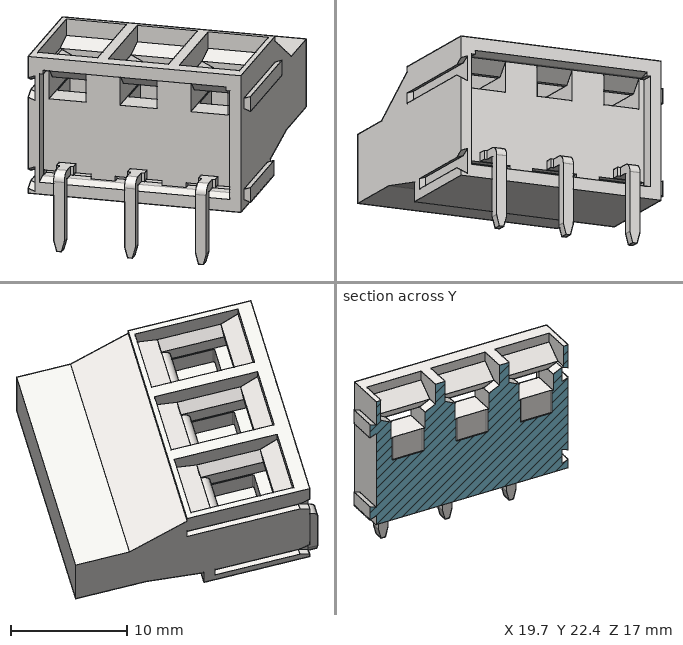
import cadquery as cq
import math

POLES = 3
BODY_WIDTH = 19.05
PITCH = BODY_WIDTH / POLES
BODY_HEIGHT = 12.45
BODY_DEPTH = 20.95
HEAD_DEPTH = 10.98
FOOT_DEPTH = 9.48
TAIL_BOTTOM = 2.73
TAIL_TOP = 8.92
HEAD_STEP = 0.47
FOOT_STEP_TOP = 1.77
TAIL_TOP_FRONT = 16.13
TAIL_BOTTOM_FRONT = 14.63

JOINT_DEPTH = 0.6
JOINT_NECK = 0.92
JOINT_SPREAD = 0.22
FLARE_LENGTH = 0.87
FLARE_GROWTH = 0.43
RAIL_FRONT = 0.95
JOINTS = [(9.63, HEAD_DEPTH), (1.35, 8.47)]

RECESS_SIDE = 1.0
RECESS_DEPTH = 1.3
RECESS_BOTTOM = 1.37
RECESS_TOP = 10.98
LEDGE_DROP = 0.27
LINTEL_SIDE = 1.35
LINTEL_STEP = 0.07
LINTEL_RISE = 0.27
BEVEL_ANGLE = math.radians(15)

POCKET_WIDTH = 5.38
POCKET_FRONT = 1.3
POCKET_REAR = 10.5
REAR_SLOPE_TOP = 10.95
FRONT_SLOPE_TOP = 11.55
SHELF_OUTER = 10.44
SHELF_INNER = 9.95

SLOT_WIDTH = 3.34
SLOT_FRONT = 2.82
SLOT_REAR = 8.5
SLOT_FLOOR = 8.3
WINDOW_CEILING = 9.95
CLAMP_FRONT = 7.6
CLAMP_TOP = 9.8
CLAMP_RADIUS = 0.8
WELL_WIDTH = 3.14
WELL_FRONT = 3.7
WELL_DEPTH = 2.25
WELL_CORNER = 0.13

NOTCH_WIDTH = 4.2
NOTCH_HEIGHT = 0.43
NOTCH_DEPTH = 0.67
RAMP_LENGTH = 0.11

PIN_WIDTH = 0.96
PIN_THICKNESS = 0.9
PIN_REACH = 1.45
PIN_LENGTH = 4.55
TANG_TOP = 2.62
TANG_THICKNESS = 0.78
TANG_WIDTH = 1.5
TANG_LENGTH = 0.83
BEND_RADIUS = 0.83
TIP_LENGTH = 0.99
TIP_WIDTH = 0.43

POLE_CENTRES = [PITCH * (pole + 0.5) for pole in range(POLES)]


def side_prism(points, x_start, width):
    """Extrude a (Y, Z) outline along +X."""
    return cq.Workplane("YZ", origin=(x_start, 0, 0)).polyline(points).close().extrude(width)


def box(x_centre, width, y_start, y_end, z_start, z_end):
    """Block centred on x_centre between the given Y and Z limits."""
    size = (width, y_end - y_start, z_end - z_start)
    corner = cq.Workplane("XY", origin=(x_centre, y_start, z_start))
    return corner.box(*size, centered=(True, False, False))


def make_housing():
    outline = [
        (0, 0),
        (FOOT_DEPTH, 0),
        (FOOT_DEPTH, FOOT_STEP_TOP),
        (TAIL_BOTTOM_FRONT, TAIL_BOTTOM),
        (BODY_DEPTH, TAIL_BOTTOM),
        (BODY_DEPTH, TAIL_TOP),
        (TAIL_TOP_FRONT, TAIL_TOP),
        (HEAD_DEPTH, BODY_HEIGHT - HEAD_STEP),
        (HEAD_DEPTH, BODY_HEIGHT),
        (0, BODY_HEIGHT),
    ]
    return side_prism(outline, 0, BODY_WIDTH)


def dovetail(x_neck, z_centre, y_front, y_rear):
    """Dovetail bar that widens from x_neck over the joint depth in +X."""
    neck = JOINT_NECK / 2
    wide = neck + JOINT_SPREAD
    section = [
        (x_neck, z_centre - neck),
        (x_neck + JOINT_DEPTH, z_centre - wide),
        (x_neck + JOINT_DEPTH, z_centre + wide),
        (x_neck, z_centre + neck),
    ]
    plane = cq.Workplane("XZ", origin=(0, y_front, 0))
    return plane.polyline(section).close().extrude(y_front - y_rear)


def groove_flare(z_centre):
    """Lead-in that opens a groove towards the front face."""

    def section(growth):
        neck = JOINT_NECK / 2 + growth
        wide = neck + JOINT_SPREAD
        return [
            (0, z_centre - neck),
            (JOINT_DEPTH, z_centre - wide),
            (JOINT_DEPTH, z_centre + wide),
            (0, z_centre + neck),
        ]

    front = cq.Workplane("XZ").polyline(section(FLARE_GROWTH)).close()
    rear = front.workplane(offset=-FLARE_LENGTH).polyline(section(0)).close()
    return rear.loft(ruled=True)


def make_recess():
    profile = [
        (0, RECESS_BOTTOM - LEDGE_DROP),
        (LEDGE_DROP / math.tan(BEVEL_ANGLE), RECESS_BOTTOM),
        (RECESS_DEPTH, RECESS_BOTTOM),
        (RECESS_DEPTH, RECESS_TOP),
        (0, RECESS_TOP),
    ]
    lintel_top = RECESS_TOP + LINTEL_STEP
    bevel = [
        (0, RECESS_TOP),
        (RECESS_DEPTH, RECESS_TOP),
        (RECESS_DEPTH, lintel_top),
        (LINTEL_RISE / math.tan(BEVEL_ANGLE), lintel_top),
        (0, lintel_top + LINTEL_RISE),
    ]
    recess = side_prism(profile, RECESS_SIDE, BODY_WIDTH - 2 * RECESS_SIDE)
    return recess.union(side_prism(bevel, LINTEL_SIDE, BODY_WIDTH - 2 * LINTEL_SIDE))


def make_funnel(x_centre):
    """Open top of a pocket, with sloped ends and inclined side shelves."""
    profile = [
        (POCKET_FRONT, BODY_HEIGHT),
        (POCKET_FRONT, FRONT_SLOPE_TOP),
        (SLOT_FRONT, SHELF_OUTER),
        (SLOT_REAR, SHELF_OUTER),
        (POCKET_REAR, REAR_SLOPE_TOP),
        (POCKET_REAR, BODY_HEIGHT),
    ]
    funnel = side_prism(profile, x_centre - POCKET_WIDTH / 2, POCKET_WIDTH)

    shelf_section = [
        (x_centre - POCKET_WIDTH / 2, SHELF_OUTER),
        (x_centre - SLOT_WIDTH / 2, SHELF_INNER),
        (x_centre + SLOT_WIDTH / 2, SHELF_INNER),
        (x_centre + POCKET_WIDTH / 2, SHELF_OUTER),
    ]
    plane = cq.Workplane("XZ", origin=(0, SLOT_FRONT, 0))
    return funnel.union(plane.polyline(shelf_section).close().extrude(SLOT_FRONT - SLOT_REAR))


def make_slot(x_centre):
    """Slot below the funnel, leaving the rounded clamp bar, with a well in its floor."""
    slot = box(x_centre, SLOT_WIDTH, SLOT_FRONT, SLOT_REAR, SLOT_FLOOR, SHELF_INNER)
    clamp_rear = CLAMP_FRONT + CLAMP_RADIUS
    clamp = (
        cq.Workplane("YZ", origin=(x_centre - SLOT_WIDTH / 2, 0, 0))
        .moveTo(CLAMP_FRONT, SLOT_FLOOR)
        .lineTo(CLAMP_FRONT, CLAMP_TOP - CLAMP_RADIUS)
        .radiusArc((clamp_rear, CLAMP_TOP), CLAMP_RADIUS)
        .lineTo(clamp_rear, SLOT_FLOOR)
        .close()
        .extrude(SLOT_WIDTH)
    )
    well = box(x_centre, WELL_WIDTH, WELL_FRONT, CLAMP_FRONT, SLOT_FLOOR - WELL_DEPTH, SLOT_FLOOR)
    well = well.edges("|Z and <Y").fillet(WELL_CORNER)
    return slot.cut(clamp).union(well)


def make_window(x_centre):
    """Opening from the recess into the slot, with a 45 degree ceiling lead-in."""
    window_top = RECESS_TOP + LINTEL_STEP
    profile = [
        (RECESS_DEPTH, SLOT_FLOOR),
        (SLOT_FRONT, SLOT_FLOOR),
        (SLOT_FRONT, WINDOW_CEILING),
        (RECESS_DEPTH + window_top - WINDOW_CEILING, WINDOW_CEILING),
        (RECESS_DEPTH, window_top),
    ]
    return side_prism(profile, x_centre - SLOT_WIDTH / 2, SLOT_WIDTH)


def make_notch(x_centre):
    """Notch in the recess wall below a pin, with a ramp in its right half."""
    top = RECESS_BOTTOM + NOTCH_HEIGHT
    rear = RECESS_DEPTH + NOTCH_DEPTH
    notch = box(x_centre, NOTCH_WIDTH, RECESS_DEPTH, rear, RECESS_BOTTOM, top)
    ramp = [(rear, RECESS_BOTTOM), (rear, top), (rear - RAMP_LENGTH, RECESS_BOTTOM)]
    return notch.cut(side_prism(ramp, x_centre, NOTCH_WIDTH / 2))


def make_pin(x_centre):
    """L-shaped pin with a tapered tip and a wide tang at the recess wall."""
    tang_bottom = TANG_TOP - TANG_THICKNESS
    leg_rear = PIN_THICKNESS - PIN_REACH
    profile = [
        (RECESS_DEPTH, TANG_TOP),
        (-PIN_REACH, TANG_TOP),
        (-PIN_REACH, -PIN_LENGTH),
        (leg_rear, -PIN_LENGTH),
        (leg_rear, tang_bottom),
        (RECESS_DEPTH, tang_bottom),
    ]
    pin = side_prism(profile, x_centre - PIN_WIDTH / 2, PIN_WIDTH)
    pin = pin.edges("|X and <Y and >Z").fillet(BEND_RADIUS)

    for side in (-1, 1):
        edge = x_centre + side * PIN_WIDTH / 2
        corner = [
            (edge, -PIN_LENGTH),
            (edge, TIP_LENGTH - PIN_LENGTH),
            (x_centre + side * TIP_WIDTH / 2, -PIN_LENGTH),
        ]
        pin = pin.cut(cq.Workplane("XZ").polyline(corner).close().extrude(PIN_REACH))
    tang = box(x_centre, TANG_WIDTH, RECESS_DEPTH - TANG_LENGTH, RECESS_DEPTH, tang_bottom, TANG_TOP)
    return pin.union(tang)


result = make_housing().cut(make_recess())
for joint_height, joint_rear in JOINTS:
    result = result.cut(dovetail(0, joint_height, 0, joint_rear))
    result = result.cut(groove_flare(joint_height))
    result = result.union(dovetail(BODY_WIDTH, joint_height, RAIL_FRONT, joint_rear))
for centre in POLE_CENTRES:
    result = result.cut(make_funnel(centre))
    result = result.cut(make_slot(centre))
    result = result.cut(make_window(centre))
    result = result.cut(make_notch(centre))
    result = result.union(make_pin(centre))